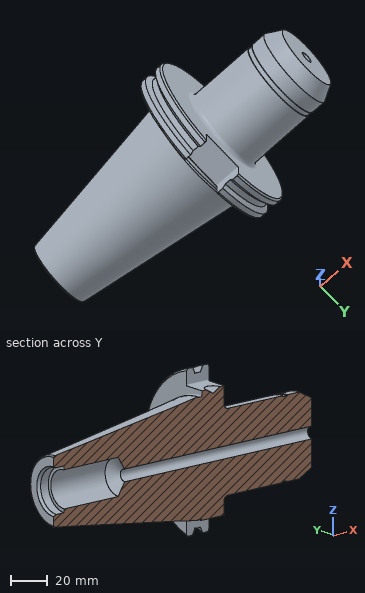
import cadquery as cq
import math

LENGTH = 182.6

TAPER_LENGTH = 101.5
TAPER_LARGE_DIAMETER = 70.0
TAPER_RATIO = 7 / 24
TIP_CHAMFER = 0.7
RELIEF_START = 102.6
RELIEF_DIAMETER = 69.2
RELIEF_FILLET = 0.5

FLANGE_START = 104.6
FLANGE_WIDTH = 16.0
FLANGE_DIAMETER = 98.2
FLANGE_CHAMFER = 1.1
GROOVE_DIAMETER = 91.3
GROOVE_TOP_WIDTH = 7.3
GROOVE_FLOOR_WIDTH = 3.7

SLOT_WIDTH = 25.7
SLOT_FILLET = 0.5
UPPER_FLOOR_HEIGHT = 37.8
LOWER_FLOOR_HEIGHT = 35.5
SPOT_DIAMETER = 9.5
DRILL_ANGLE = 118.0

NOSE_DIAMETER = 49.3
NOSE_FILLET = 2.5
RING_START = 162.0
RING_WIDTH = 3.0
RING_DIAMETER = 48.2
BEVEL_START = 173.7
NOSE_END_DIAMETER = 40.2
NOSE_END_CHAMFER = 0.5

MOUTH_DIAMETER = 28.1
MOUTH_DEPTH = 1.8
RECESS_DIAMETER = 26.1
RECESS_DEPTH = 7.3
BORE_DIAMETER = 22.0
BORE_DEPTH = 45.6
THROUGH_DIAMETER = 7.0

flange_end = FLANGE_START + FLANGE_WIDTH
flange_middle = FLANGE_START + FLANGE_WIDTH / 2


def cone_height(large_diameter, small_diameter=0.0):
    """Height of a drill-point cone between two diameters."""
    return (large_diameter - small_diameter) / 2 / math.tan(math.radians(DRILL_ANGLE / 2))


def make_body():
    """Revolve the outer profile, given as (x, radius) points, about X."""
    tip_radius = (TAPER_LARGE_DIAMETER - TAPER_LENGTH * TAPER_RATIO) / 2
    taper_radius = TAPER_LARGE_DIAMETER / 2
    relief_radius = RELIEF_DIAMETER / 2
    flange_radius = FLANGE_DIAMETER / 2
    groove_radius = GROOVE_DIAMETER / 2
    nose_radius = NOSE_DIAMETER / 2
    ring_radius = RING_DIAMETER / 2
    end_radius = NOSE_END_DIAMETER / 2
    ring_end = RING_START + RING_WIDTH
    relief_sag = RELIEF_FILLET * (1 - math.sqrt(0.5))
    fillet_sag = NOSE_FILLET * (1 - math.sqrt(0.5))

    profile = (
        cq.Workplane("XY")
        .moveTo(0, 0)
        .lineTo(0, tip_radius - TIP_CHAMFER)
        .lineTo(TIP_CHAMFER, tip_radius + TIP_CHAMFER * TAPER_RATIO / 2)
        .lineTo(TAPER_LENGTH, taper_radius)
        .lineTo(RELIEF_START, relief_radius)
        .lineTo(FLANGE_START - RELIEF_FILLET, relief_radius)
        .threePointArc(
            (FLANGE_START - relief_sag, relief_radius + relief_sag),
            (FLANGE_START, relief_radius + RELIEF_FILLET),
        )
        .lineTo(FLANGE_START, flange_radius - FLANGE_CHAMFER)
        .lineTo(FLANGE_START + FLANGE_CHAMFER, flange_radius)
        .lineTo(flange_middle - GROOVE_TOP_WIDTH / 2, flange_radius)
        .lineTo(flange_middle - GROOVE_FLOOR_WIDTH / 2, groove_radius)
        .lineTo(flange_middle + GROOVE_FLOOR_WIDTH / 2, groove_radius)
        .lineTo(flange_middle + GROOVE_TOP_WIDTH / 2, flange_radius)
        .lineTo(flange_end - FLANGE_CHAMFER, flange_radius)
        .lineTo(flange_end, flange_radius - FLANGE_CHAMFER)
        .lineTo(flange_end, nose_radius + NOSE_FILLET)
        .threePointArc(
            (flange_end + fillet_sag, nose_radius + fillet_sag),
            (flange_end + NOSE_FILLET, nose_radius),
        )
        .lineTo(RING_START, nose_radius)
        .lineTo(RING_START, ring_radius)
        .lineTo(ring_end, ring_radius)
        .lineTo(ring_end, nose_radius)
        .lineTo(BEVEL_START, nose_radius)
        .lineTo(LENGTH - NOSE_END_CHAMFER, end_radius)
        .lineTo(LENGTH, end_radius - NOSE_END_CHAMFER)
        .lineTo(LENGTH, 0)
        .close()
    )
    return profile.revolve(360, (0, 0, 0), (1, 0, 0))


def make_bore():
    """Chamfered recess, bore with a conical bottom, and a hole right through."""
    cone_end = BORE_DEPTH + cone_height(BORE_DIAMETER, THROUGH_DIAMETER)
    profile = [
        (0, 0),
        (0, MOUTH_DIAMETER / 2),
        (MOUTH_DEPTH, RECESS_DIAMETER / 2),
        (RECESS_DEPTH, RECESS_DIAMETER / 2),
        (RECESS_DEPTH, BORE_DIAMETER / 2),
        (BORE_DEPTH, BORE_DIAMETER / 2),
        (cone_end, THROUGH_DIAMETER / 2),
        (LENGTH, THROUGH_DIAMETER / 2),
        (LENGTH, 0),
    ]
    return cq.Workplane("XY").polyline(profile).close().revolve(360, (0, 0, 0), (1, 0, 0))


def make_slot(side, floor_height):
    """Drive slot across the flange; side is +1 for the top and -1 for the bottom."""
    depth = FLANGE_DIAMETER / 2 - floor_height
    middle_height = floor_height + depth / 2
    floor_face = "<Z" if side > 0 else ">Z"
    slot = cq.Workplane("XY").box(FLANGE_WIDTH, SLOT_WIDTH, depth)
    slot = slot.faces(floor_face).edges("|X").fillet(SLOT_FILLET)
    return slot.translate((flange_middle, 0, side * middle_height))


def make_spot():
    """Conical drill spot in the floor of the upper slot."""
    tip = cq.Vector(flange_middle, 0, UPPER_FLOOR_HEIGHT - cone_height(SPOT_DIAMETER))
    cone = cq.Solid.makeCone(0, SPOT_DIAMETER / 2, cone_height(SPOT_DIAMETER), tip)
    return cq.Workplane(obj=cone)


result = make_body().cut(make_bore())
for side, floor_height in ((1, UPPER_FLOOR_HEIGHT), (-1, LOWER_FLOOR_HEIGHT)):
    result = result.cut(make_slot(side, floor_height))
result = result.cut(make_spot())